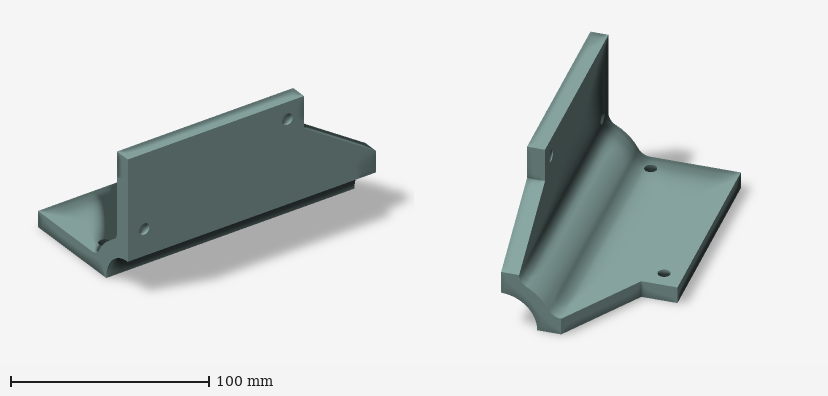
import cadquery as cq
import math

length = 152.4
leg = 79.4
cove_radius = 19.0
thickness = cove_radius / 2
blend_radius = 7.3
shoulder_drop = 44.2
shoulder_width = 19.0
hole_diameter = 6.5
outer_hole_inset = 10.2
inner_hole_reach = 34.9
inner_hole_inset = 10.0

bulge_radius = cove_radius + thickness
blend_height = thickness + blend_radius
blend_span = bulge_radius + blend_radius
blend_start = math.sqrt(blend_span**2 - blend_height**2)
tangent_ratio = bulge_radius / blend_span
bulge_far = blend_start * tangent_ratio
bulge_near = blend_height * tangent_ratio
shoulder_y = length - shoulder_drop


def arc_point(center, radius, target):
    """Point on a circle in the direction from its center toward the target."""
    dx = target[0] - center[0]
    dz = target[1] - center[1]
    distance = math.hypot(dx, dz)
    return center[0] + radius * dx / distance, center[1] + radius * dz / distance


def angle_body():
    half_cove = cove_radius * math.sqrt(0.5)
    half_bulge = bulge_radius * math.sqrt(0.5)
    low_center = (-blend_start, blend_height)
    high_center = (-blend_height, blend_start)
    low_aim = (-(blend_start + bulge_far) / 2, (thickness + bulge_near) / 2)
    high_aim = (-low_aim[1], -low_aim[0])
    profile = (
        cq.Workplane("XZ")
        .moveTo(-leg, 0)
        .lineTo(-cove_radius, 0)
        .threePointArc((-half_cove, half_cove), (0, cove_radius))
        .lineTo(0, leg)
        .lineTo(-thickness, leg)
        .lineTo(-thickness, blend_start)
        .threePointArc(arc_point(high_center, blend_radius, high_aim), (-bulge_near, bulge_far))
        .threePointArc((-half_bulge, half_bulge), (-bulge_far, bulge_near))
        .threePointArc(arc_point(low_center, blend_radius, low_aim), (-blend_start, thickness))
        .lineTo(-leg, thickness)
        .close()
    )
    return profile.extrude(-length)


def leg_cutters():
    """Taper and bolt holes for the horizontal leg, cut along Z."""
    taper = (
        cq.Workplane("XY")
        .polyline([
            (-leg, shoulder_y),
            (-leg + shoulder_width, shoulder_y),
            (-blend_start, length),
            (-leg, length),
        ])
        .close()
        .extrude(thickness)
    )
    hole_centers = [
        (-leg + outer_hole_inset, shoulder_y - outer_hole_inset),
        (-inner_hole_reach, inner_hole_inset),
    ]
    holes = (
        cq.Workplane("XY")
        .pushPoints(hole_centers)
        .circle(hole_diameter / 2)
        .extrude(blend_height)
    )
    return taper.union(holes)


horizontal_cutters = leg_cutters()
vertical_cutters = horizontal_cutters.rotate((0, 0, 0), (0, 1, 0), 90).mirror("YZ")
result = angle_body().cut(horizontal_cutters).cut(vertical_cutters)